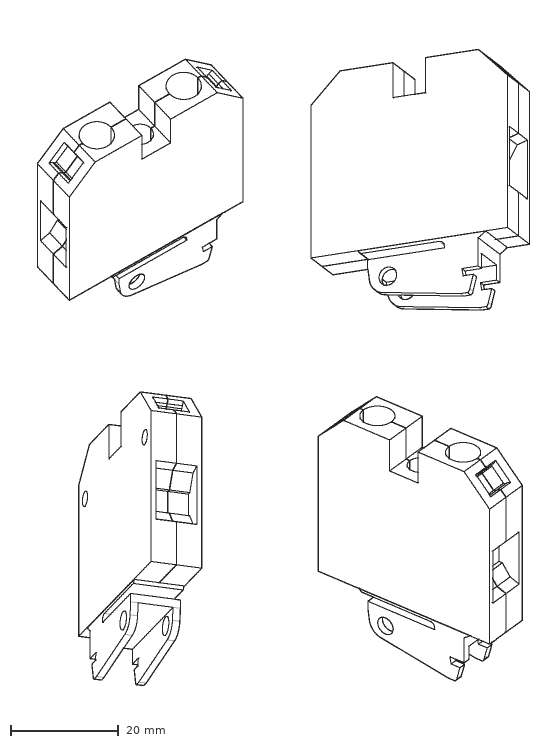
import cadquery as cq

body_width = 10.0
body_length = 40.0
top_z = 47.6
body_bottom_z = 11.55
corner_chamfer = 5.95
seam_gap = 0.1

notch_length = 6.6
notch_depth = 6.9
screw_hole_diameter = 6.5
screw_hole_offset = 10.0
screw_hole_depth = 14.3
center_hole_diameter = 4.85
center_hole_depth = 7.15

side_hole_diameter = 2.85
side_hole_offset = 16.45
side_hole_z = 37.65
side_hole_depth = 4.0

slot_width = 6.0
slot_mouth_length = 4.95
slot_neck_length = 4.4
slot_neck_top_depth = 0.85
slot_neck_bottom_depth = 1.48
slot_floor_length = 3.8
slot_floor_depth = 1.75

funnel_width = 8.0
funnel_mouth_z = (20.2, 31.8)
funnel_bend_z = (20.95, 31.2)
funnel_throat_z = (23.32, 27.95)
funnel_bend_depth = 2.1
funnel_throat_depth = 3.9
funnel_depth = 4.7

foot_width = 9.8
leg_thickness = 1.48
leg_top_z = 7.85
foot_back_y = 14.0
foot_front_y = -8.45
hook_top_z = 4.9
hook_bottom_z = 3.45
spring_slot_bottom_z = 9.5
spring_slot_top_z = 10.95
spring_slot_end_y = 7.1
spring_slot_radius = 1.05
pin_hole_diameter = 3.55
pin_hole_y = -4.4
pin_hole_z = 5.65

half_length = body_length / 2


def extrude_across(sketch, width):
    """Extrude a YZ outline symmetrically about the middle plane."""
    return sketch.extrude(width / 2, both=True)


def both_ends(cutter):
    """Return the cutter together with its mirror image at the other end."""
    return cutter.union(cutter.mirror("XZ"))


def vertical_hole(diameter, y, mouth_z, depth):
    return cq.Workplane("XY", origin=(0, y, mouth_z)).circle(diameter / 2).extrude(-depth)


def make_body():
    height = top_z - body_bottom_z
    block = cq.Workplane("XY", origin=(0, 0, body_bottom_z)).box(
        body_width, body_length, height, centered=(True, True, False)
    )
    block = block.faces(">Z").edges("|X").chamfer(corner_chamfer)
    notch = cq.Workplane("XY", origin=(0, 0, top_z - notch_depth)).box(
        body_width, notch_length, notch_depth, centered=(True, True, False)
    )
    return block.cut(notch)


def make_seam():
    height = top_z - body_bottom_z
    return cq.Workplane("XY", origin=(0, 0, body_bottom_z)).box(
        seam_gap, body_length, height, centered=(True, True, False)
    )


def make_test_slot():
    """Slot cutter whose depth runs along the normal of the -Y chamfer."""
    mouth_center = (0, -half_length + corner_chamfer / 2, top_z - corner_chamfer / 2)
    chamfer_plane = cq.Plane(origin=mouth_center, xDir=(0, 1, 1), normal=(1, 0, 0))
    half_profile = [
        (slot_mouth_length / 2, 0),
        (slot_neck_length / 2, -slot_neck_top_depth),
        (slot_neck_length / 2, -slot_neck_bottom_depth),
        (slot_floor_length / 2, -slot_floor_depth),
    ]
    mirrored = [(-along, depth) for along, depth in reversed(half_profile)]
    profile = cq.Workplane(chamfer_plane).polyline(half_profile + mirrored).close()
    return extrude_across(profile, slot_width)


def make_funnel():
    """Funnel cutter entering the -Y end face, narrowing towards a flat back wall."""
    depths = [0, funnel_bend_depth, funnel_throat_depth, funnel_depth]
    levels = [funnel_mouth_z, funnel_bend_z, funnel_throat_z, funnel_throat_z]
    floor = [(-half_length + depth, level[0]) for depth, level in zip(depths, levels)]
    roof = [(-half_length + depth, level[1]) for depth, level in zip(depths, levels)]
    profile = cq.Workplane("YZ").polyline(floor + roof[::-1]).close()
    return extrude_across(profile, funnel_width)


def make_side_holes():
    return (
        cq.Workplane("YZ", origin=(-body_width / 2, 0, 0))
        .pushPoints([(-side_hole_offset, side_hole_z), (side_hole_offset, side_hole_z)])
        .circle(side_hole_diameter / 2)
        .extrude(side_hole_depth)
    )


def make_foot():
    outline = (
        cq.Workplane("YZ")
        .moveTo(15.5, body_bottom_z)
        .lineTo(foot_back_y, 10.45)
        .lineTo(foot_back_y, hook_top_z)
        .lineTo(10.65, hook_top_z)
        .lineTo(10.95, hook_bottom_z)
        .lineTo(13.0, hook_bottom_z)
        .lineTo(12.3, 0.7)
        .threePointArc((12.15, 0.3), (11.8, 0))
        .lineTo(10.4, 0)
        .lineTo(-5.25, 2.55)
        .threePointArc((-7.45, 3.8), (-8.15, 5.4))
        .lineTo(foot_front_y, leg_top_z)
        .lineTo(foot_front_y, spring_slot_bottom_z)
        .lineTo(spring_slot_end_y, spring_slot_bottom_z)
        .lineTo(spring_slot_end_y, spring_slot_top_z - spring_slot_radius)
        .radiusArc((spring_slot_end_y - spring_slot_radius, spring_slot_top_z), -spring_slot_radius)
        .lineTo(-9.95, spring_slot_top_z)
        .threePointArc((-10.25, 11.25), (-10.45, body_bottom_z))
        .close()
    )
    foot = extrude_across(outline, foot_width)
    channel = cq.Workplane("XY").box(
        foot_width - 2 * leg_thickness, body_length, leg_top_z, centered=(True, True, False)
    )
    pin_hole = extrude_across(
        cq.Workplane("YZ").center(pin_hole_y, pin_hole_z).circle(pin_hole_diameter / 2), foot_width
    )
    return foot.cut(channel).cut(pin_hole)


body = make_body()
body = body.cut(both_ends(vertical_hole(screw_hole_diameter, screw_hole_offset, top_z, screw_hole_depth)))
body = body.cut(vertical_hole(center_hole_diameter, 0, top_z - notch_depth, center_hole_depth))
body = body.cut(both_ends(make_test_slot()))
body = body.cut(both_ends(make_funnel()))
body = body.cut(make_side_holes())
body = body.cut(make_seam())

result = body.union(make_foot())